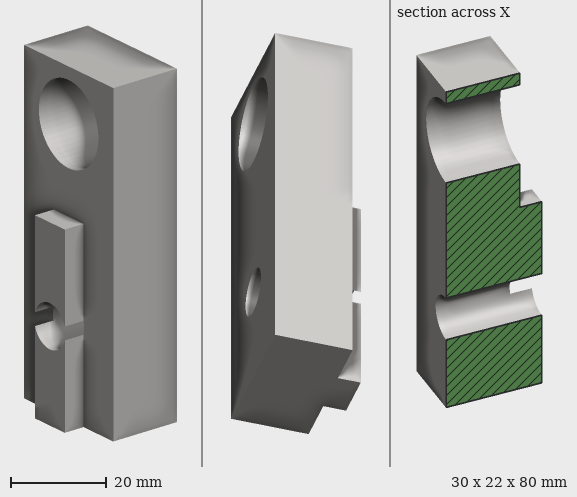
import cadquery as cq

height = 80.0
width = 30.0
total_depth = 22.0
rib_width = 10.0
rib_thickness = rib_width / 2
rib_height = 46.0
large_hole_diameter = 20.0
large_hole_from_top = 13.0
small_hole_diameter = 10.5
small_hole_from_bottom = 22.5

block_depth = total_depth - rib_thickness


def cross_hole(diameter, z):
    """Cylinder along Y through the full depth, centred on the width."""
    return (
        cq.Workplane("XZ", origin=(0, block_depth, 0))
        .center(0, z)
        .circle(diameter / 2)
        .extrude(total_depth)
    )


block = cq.Workplane("XY").box(width, block_depth, height, centered=(True, False, False))

rib = (
    cq.Workplane("XY", origin=(0, -rib_thickness, 0))
    .box(rib_width, rib_thickness, rib_height, centered=(True, False, False))
)

result = (
    block.union(rib)
    .cut(cross_hole(large_hole_diameter, height - large_hole_from_top))
    .cut(cross_hole(small_hole_diameter, small_hole_from_bottom))
)